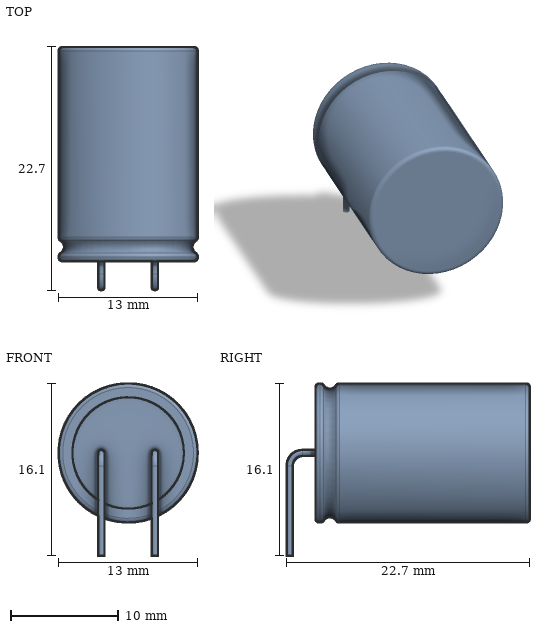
import cadquery as cq
import math


can_diameter = 13.0
can_length = 20.0
rim_fillet = 0.4

groove_floor_diameter = 12.0
groove_floor_radius = 0.7
groove_shoulder_radius = 0.4
crimp_land = 0.02

seal_diameter = 10.4
seal_recess_depth = 0.1

lead_diameter = 0.6
lead_pitch = 5.0
lead_bend_start = 1.2
lead_bend_radius = 1.2
lead_drop = 9.6
lead_embed = 1.0

can_radius = can_diameter / 2
groove_floor = groove_floor_diameter / 2
groove_depth = can_radius - groove_floor

arc_center_distance = groove_floor_radius + groove_shoulder_radius
groove_half_width = math.sqrt(arc_center_distance**2 - (arc_center_distance - groove_depth) ** 2)
groove_start = rim_fillet + crimp_land
groove_center = groove_start + groove_half_width
groove_end = groove_center + groove_half_width

floor_share = groove_floor_radius / arc_center_distance
inflection_offset = groove_half_width * floor_share
inflection_radius = groove_floor + groove_depth * floor_share

cos_45 = math.cos(math.radians(45))


def shoulder_middle(side):
    """Point halfway along a shoulder arc; side is -1 at the rim, +1 at the can."""
    half_sweep = math.asin(groove_half_width / arc_center_distance) / 2
    return (
        can_radius - groove_shoulder_radius * (1 - math.cos(half_sweep)),
        groove_center + side * (groove_half_width - groove_shoulder_radius * math.sin(half_sweep)),
    )


def rim_middle(y_face, inward):
    """Point halfway round a rim fillet; inward is the Y direction into the can."""
    inset = rim_fillet * (1 - cos_45)
    return (can_radius - inset, y_face + inward * inset)


def make_can():
    """Revolve the can profile (radius, y) about the Y axis and recess the seal."""
    profile = (
        cq.Workplane("XY")
        .lineTo(can_radius - rim_fillet, 0)
        .threePointArc(rim_middle(0, 1), (can_radius, rim_fillet))
        .lineTo(can_radius, groove_start)
        .threePointArc(shoulder_middle(-1), (inflection_radius, groove_center - inflection_offset))
        .threePointArc((groove_floor, groove_center), (inflection_radius, groove_center + inflection_offset))
        .threePointArc(shoulder_middle(1), (can_radius, groove_end))
        .lineTo(can_radius, can_length - rim_fillet)
        .threePointArc(rim_middle(can_length, -1), (can_radius - rim_fillet, can_length))
        .lineTo(0, can_length)
        .close()
    )
    can = profile.revolve(360, (0, 0, 0), (0, 1, 0))
    recess = cq.Workplane("XZ").circle(seal_diameter / 2).extrude(-seal_recess_depth)
    return can.cut(recess)


def make_lead(x):
    """Sweep one round lead out of the can, through a quarter bend and down."""
    bend_end = -lead_bend_start - lead_bend_radius
    bend_middle = (
        -lead_bend_start - lead_bend_radius * cos_45,
        -lead_bend_radius * (1 - cos_45),
    )
    path = (
        cq.Workplane("YZ", origin=(x, 0, 0))
        .moveTo(lead_embed, 0)
        .lineTo(-lead_bend_start, 0)
        .threePointArc(bend_middle, (bend_end, -lead_bend_radius))
        .lineTo(bend_end, -lead_drop)
    )
    section = cq.Workplane("XZ", origin=(x, lead_embed, 0)).circle(lead_diameter / 2)
    return section.sweep(path)


result = make_can()
for lead_x in (-lead_pitch / 2, lead_pitch / 2):
    result = result.union(make_lead(lead_x))